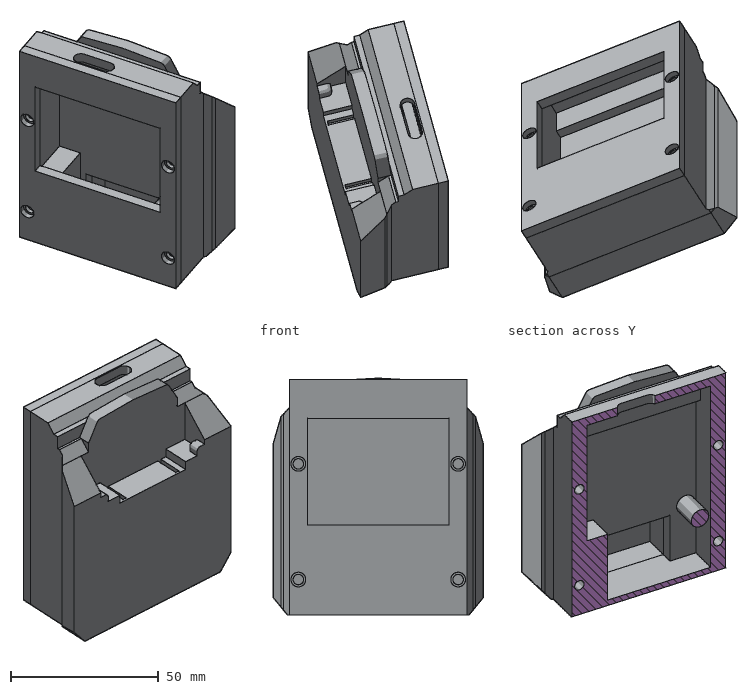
import cadquery as cq

CASE_WIDTH = 60.1
CASE_HEIGHT = 79.7
TOTAL_WIDTH = 71.1
TOTAL_DEPTH = 32.1
TOTAL_HEIGHT = 80.2

COVER_DEPTH = 3.5
FLOOR_FRONT = 17.5
FLOOR_BACK = 22.05

FLARE_START = 19.8
FLARE_KNEE = 22.9
KNEE_WIDTH = 65.9
REAR_TOP = 71.7
SLOPE_SUM = 90.1
BOTTOM_CORNER_HEIGHT = 5.9
BOTTOM_CORNER_HALF = 30.7

NOTCH_FLOOR = 76.6
NOTCH_FRONT = 15.5
NOTCH_SLOPE_FRONT = 12.5

TAB_WIDTH = 40.3
TAB_SHOULDER_WIDTH = 31.6
TAB_SHOULDER_HEIGHT = 79.3
TAB_CORNER_RADIUS = 2.1
TAB_ROOT = 64.2

WINDOW_WIDTH = 48.0
WINDOW_BOTTOM = 30.55
WINDOW_TOP = 66.6
TOP_WALL = 3.5
BOTTOM_WALL = 2.4
UPPER_POCKET_BACK = 14.3

SLOT_X = -4.9
SLOT_Y = 6.5
SLOT_LENGTH = 15.0
SLOT_WIDTH = 5.0

SCREW_X = 27.0
SCREW_HEIGHTS = (12.0, 51.2)
SCREW_DIAMETER = 3.5
SCREW_HEAD_DIAMETER = 5.0
SCREW_HEAD_DEPTH = 2.0
SCREW_HOLE_BOTTOM = 11.55

POST_X = 20.0
POST_Z = 23.65
POST_DIAMETER = 7.0
BLOCK_SIDE = -16.0
BLOCK_TOP = 29.3

CAVITY_WIDTH = 27.8
CAVITY_TOP = 21.0
CAVITY_BACK = 31.2

RECESS_WIDTH = 47.0
RECESS_FLOOR = 52.9
CHANNEL_WIDTH = 29.8
CHANNEL_FLOOR = 49.7
GROOVE_X = 11.95
GROOVE_WIDTH = 1.45
GROOVE_DEPTH = 2.4
LUG_WIDTH = 3.4
LUG_FRONT = 27.4
LUG_TOP = 56.1
LUG_RADIUS = 1.45
LUG_CORNER_RADIUS = 1.6

SCREW_POINTS = [(side * SCREW_X, z) for side in (-1, 1) for z in SCREW_HEIGHTS]


def block(width, y_range, z_range):
    """A box centred on X that spans the given Y and Z ranges."""
    depth = y_range[1] - y_range[0]
    height = z_range[1] - z_range[0]
    return cq.Workplane("XY").box(width, depth, height, centered=(True, False, False)).translate(
        (0, y_range[0], z_range[0])
    )


def rod(points, diameter, y_range):
    """Cylinders along Y, centred on the given (X, Z) points."""
    sketch = cq.Workplane("XZ", origin=(0, y_range[0], 0)).pushPoints(points)
    return sketch.circle(diameter / 2).extrude(y_range[0] - y_range[1])


def flared_shape():
    """The rear half in one piece: flared sides, sloped top and cut bottom corners."""
    plan = [
        (CASE_WIDTH / 2, FLOOR_FRONT),
        (CASE_WIDTH / 2, FLARE_START),
        (KNEE_WIDTH / 2, FLARE_KNEE),
        (TOTAL_WIDTH / 2, TOTAL_DEPTH),
    ]
    mirrored_plan = [(-x, y) for x, y in reversed(plan)]
    flared = cq.Workplane("XY").polyline(plan + mirrored_plan).close().extrude(REAR_TOP)
    side = [
        (FLOOR_FRONT, 0),
        (TOTAL_DEPTH, 0),
        (TOTAL_DEPTH, SLOPE_SUM - TOTAL_DEPTH),
        (SLOPE_SUM - REAR_TOP, REAR_TOP),
        (FLOOR_FRONT, REAR_TOP),
    ]
    sloped = cq.Workplane("YZ").polyline(side).close().extrude(TOTAL_WIDTH / 2, both=True)
    front = [
        (BOTTOM_CORNER_HALF, 0),
        (TOTAL_WIDTH / 2, BOTTOM_CORNER_HEIGHT),
        (TOTAL_WIDTH / 2, REAR_TOP),
    ]
    mirrored_front = [(-x, z) for x, z in reversed(front)]
    cornered = cq.Workplane("XZ").polyline(front + mirrored_front).close().extrude(-TOTAL_DEPTH)
    return flared.intersect(sloped).intersect(cornered)


def layer(shape, y_range):
    """The part of a shape between two Y planes."""
    return shape.intersect(block(TOTAL_WIDTH, y_range, (0, TOTAL_HEIGHT)))


def battery_cavity():
    return block(CAVITY_WIDTH, (FLOOR_FRONT, CAVITY_BACK), (BOTTOM_WALL, CAVITY_TOP))


def make_tab():
    """Tab with a low peak and rounded shoulders, as thick as the floor plate."""
    outline = [
        (-TAB_WIDTH / 2, TAB_ROOT),
        (TAB_WIDTH / 2, TAB_ROOT),
        (TAB_WIDTH / 2, REAR_TOP),
        (TAB_SHOULDER_WIDTH / 2, TAB_SHOULDER_HEIGHT),
        (0, TOTAL_HEIGHT),
        (-TAB_SHOULDER_WIDTH / 2, TAB_SHOULDER_HEIGHT),
        (-TAB_WIDTH / 2, REAR_TOP),
    ]
    sketch = cq.Workplane("XZ", origin=(0, FLOOR_FRONT, 0)).polyline(outline).close()
    tab = sketch.extrude(FLOOR_FRONT - FLOOR_BACK)
    for side in (-1, 1):
        shoulder = cq.selectors.NearestToPointSelector(
            (side * TAB_SHOULDER_WIDTH / 2, (FLOOR_FRONT + FLOOR_BACK) / 2, TAB_SHOULDER_HEIGHT)
        )
        tab = tab.edges("|Y").edges(shoulder).fillet(TAB_CORNER_RADIUS)
    return tab


def make_cover():
    """Front plate with the window and the counterbored screw holes."""
    cover = block(CASE_WIDTH, (0, COVER_DEPTH), (0, CASE_HEIGHT))
    cover = cover.cut(block(WINDOW_WIDTH, (0, COVER_DEPTH), (WINDOW_BOTTOM, WINDOW_TOP)))
    cover = cover.cut(rod(SCREW_POINTS, SCREW_DIAMETER, (0, COVER_DEPTH)))
    return cover.cut(rod(SCREW_POINTS, SCREW_HEAD_DIAMETER, (0, SCREW_HEAD_DEPTH)))


def make_housing():
    """Middle shell with its floor plate, tab, pocket, post, side block and top slot."""
    profile = [
        (COVER_DEPTH, 0),
        (FLOOR_FRONT, 0),
        (FLOOR_FRONT, NOTCH_FLOOR),
        (NOTCH_FRONT, NOTCH_FLOOR),
        (NOTCH_SLOPE_FRONT, CASE_HEIGHT),
        (COVER_DEPTH, CASE_HEIGHT),
    ]
    case = cq.Workplane("YZ").polyline(profile).close().extrude(CASE_WIDTH / 2, both=True)
    floor_plate = layer(flared_shape(), (FLOOR_FRONT, FLOOR_BACK))
    housing = case.union(floor_plate).union(make_tab())

    pocket = block(WINDOW_WIDTH, (COVER_DEPTH, FLOOR_FRONT), (BOTTOM_WALL, WINDOW_TOP))
    upper_pocket = block(
        WINDOW_WIDTH, (COVER_DEPTH, UPPER_POCKET_BACK), (WINDOW_TOP, CASE_HEIGHT - TOP_WALL)
    )
    housing = housing.cut(pocket).cut(upper_pocket).cut(battery_cavity())

    slot_sketch = cq.Workplane("XY", origin=(SLOT_X, SLOT_Y, CASE_HEIGHT))
    housing = housing.cut(slot_sketch.slot2D(SLOT_LENGTH, SLOT_WIDTH).extrude(-TOP_WALL))
    housing = housing.cut(rod(SCREW_POINTS, SCREW_DIAMETER, (COVER_DEPTH, SCREW_HOLE_BOTTOM)))

    block_width = BLOCK_SIDE + WINDOW_WIDTH / 2
    side_block = block(block_width, (COVER_DEPTH, FLOOR_FRONT), (BOTTOM_WALL, BLOCK_TOP))
    side_block = side_block.translate((BLOCK_SIDE - block_width / 2, 0, 0))
    post = rod([(POST_X, POST_Z)], POST_DIAMETER, (COVER_DEPTH, FLOOR_FRONT))
    return housing.union(side_block).union(post)


def make_lug(side):
    """Lug on a side wall of the recess, rounded on its top and its free upright edge."""
    lug = block(LUG_WIDTH, (LUG_FRONT, TOTAL_DEPTH), (RECESS_FLOOR, LUG_TOP))
    free_side = "<X" if side > 0 else ">X"
    lug = lug.edges(f"|Z and <Y and {free_side}").fillet(LUG_CORNER_RADIUS)
    free_point = (-side * LUG_WIDTH / 2, LUG_FRONT, LUG_TOP)
    lug = lug.faces(">Z").edges(cq.selectors.NearestToPointSelector(free_point)).fillet(LUG_RADIUS)
    return lug.translate((side * (RECESS_WIDTH - LUG_WIDTH) / 2, 0, 0))


def make_rear_shell():
    """Rear shell with the battery cavity and the stepped recess in its top slope."""
    shell = layer(flared_shape(), (FLOOR_BACK, TOTAL_DEPTH)).cut(battery_cavity())
    shell = shell.cut(block(RECESS_WIDTH, (FLOOR_BACK, TOTAL_DEPTH), (RECESS_FLOOR, REAR_TOP)))
    shell = shell.cut(block(CHANNEL_WIDTH, (FLOOR_BACK, TOTAL_DEPTH), (CHANNEL_FLOOR, REAR_TOP)))
    groove = block(GROOVE_WIDTH, (FLOOR_BACK, CAVITY_BACK), (CHANNEL_FLOOR - GROOVE_DEPTH, CHANNEL_FLOOR))
    for side in (-1, 1):
        shell = shell.cut(groove.translate((side * GROOVE_X, 0, 0)))
        shell = shell.union(make_lug(side))
    return shell


cover = make_cover()
housing = make_housing()
rear_shell = make_rear_shell()

result = cq.Compound.makeCompound([cover.val(), housing.val(), rear_shell.val()])